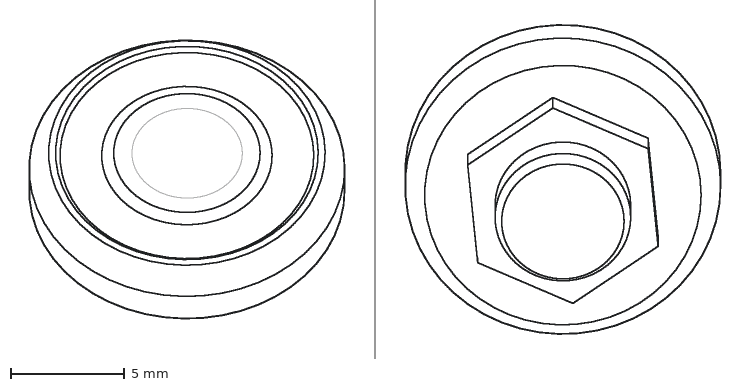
import cadquery as cq
import math

shaft_chamfer_height = 0.55
hex_bottom = 2.0
wheel_bottom = 3.35
wheel_height = 4.0
wheel_bevel_height = 1.15
total_height = 7.65
wheel_top = wheel_bottom + wheel_height

wheel_radius = 6.96
wheel_face_radius = 6.1
recess_top_radius = 5.8
recess_floor_radius = 5.6
boss_base_radius = 3.76
boss_top_radius = 3.23
dome_radius = 2.44
shaft_radius = 3.0
shaft_end_radius = 2.7

recess_depth = 0.2
hex_across_flats = 8.0


def make_turned_body():
    """Wheel, recessed top with domed boss, and shaft as one half profile (radius, height)."""
    recess_floor = wheel_top - recess_depth
    dome_rise = total_height - wheel_top
    sphere_radius = (dome_radius**2 + dome_rise**2) / (2 * dome_rise)
    arc_mid_radius = dome_radius / 2
    arc_mid_height = total_height - sphere_radius + math.sqrt(sphere_radius**2 - arc_mid_radius**2)
    return (
        cq.Workplane("XZ")
        .lineTo(shaft_end_radius, 0)
        .lineTo(shaft_radius, shaft_chamfer_height)
        .lineTo(shaft_radius, wheel_bottom)
        .lineTo(wheel_face_radius, wheel_bottom)
        .lineTo(wheel_radius, wheel_bottom + wheel_bevel_height)
        .lineTo(wheel_radius, wheel_top - wheel_bevel_height)
        .lineTo(wheel_face_radius, wheel_top)
        .lineTo(recess_top_radius, wheel_top)
        .lineTo(recess_floor_radius, recess_floor)
        .lineTo(boss_base_radius, recess_floor)
        .lineTo(boss_top_radius, wheel_top)
        .lineTo(dome_radius, wheel_top)
        .threePointArc((arc_mid_radius, arc_mid_height), (0, total_height))
        .close()
        .revolve(360, (0, 0, 0), (0, 1, 0))
    )


def make_hex_collar():
    """Hexagon under the wheel, with two corners on the X axis."""
    across_corners = hex_across_flats / math.cos(math.pi / 6)
    return (
        cq.Workplane("XY")
        .workplane(offset=hex_bottom)
        .polygon(6, across_corners)
        .extrude(wheel_bottom - hex_bottom)
    )


result = make_turned_body().union(make_hex_collar())